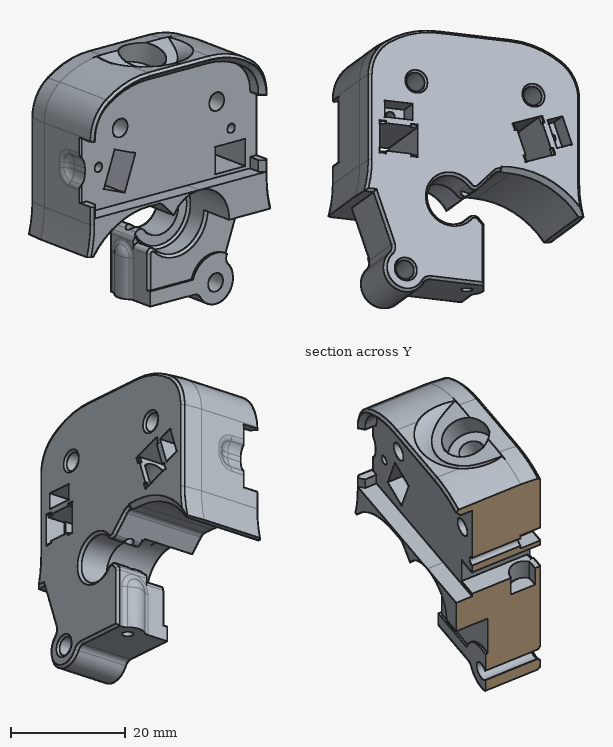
import cadquery as cq
import math

HOOD_DEPTH = 17.05
HOOD_TOP = 31.0
HOOD_HALF_WIDTH = 20.09
HOOD_FLAT_HALF = 6.9
SHOULDER_Z = 21.4
SHOULDER_RADIUS = 8.05
FLARE_TOP_Z = 5.84
EAR_HALF_WIDTH = 20.89
DRAFT_DEPTH = 4.0
DRAFT_INSET = 0.25
EDGE_CHAMFER = 0.5
RECESS_CHAMFER = 0.9

ARM_DEPTH = 10.7
ARM_BOTTOM = -14.7
BORE_Y, BORE_Z = 4.35, 0.25
BORE_RADIUS = 4.4
STEP_X = 6.1
STEP_RADIUS = 6.75
STEP_EASE = 0.47
JAW_FACE_Y = -1.9
JAW_TIP_RISE = BORE_RADIUS * math.sqrt(2) - BORE_Y
JAW_SLOPE_END_Z = BORE_Z - JAW_TIP_RISE + JAW_FACE_Y
JAW_TIP_FILLET = 1.2
JAW_EDGE_FILLET = 1.1
JAW_BACK_FILLET = 0.9

LUG_Y, LUG_Z = 13.0, -13.5
LUG_RADIUS = 4.0
LUG_FILLET = 1.5
ARM_SIDE_TOP_Y = 18.85
ARM_SIDE_Y, ARM_SIDE_Z = 15.2, -10.0
PAD_HEIGHT = 0.42
PAD_FRONT_Z = -11.9
PAD_RADIUS = 5.4

CEILING_Z = 6.5
RECESS_CENTER_Y = -7.0
RECESS_RADIUS = 15.9
RECESS_FILLET = 1.5
RECESS_FLAT = 2.0

SCREW_DIAMETER = 3.4
SCREW_COUNTERSINK = 4.2
SCREW_SPACING = 22.0
SCREW_Z = 20.96

SLOT_LENGTH, SLOT_HEIGHT = 7.2, 5.05
SLOT_FRONT_DEPTH = 4.0
NOTCH_LENGTH, NOTCH_HEIGHT, NOTCH_DEPTH = 1.25, 0.45, 0.5
POCKET_LENGTH, POCKET_HEIGHT, POCKET_DEPTH = 5.25, 3.0, 4.0
POCKET_OFFSET = 5.15
PIN_DIAMETER = 1.7
SEAT_X, SEAT_DEPTH = 3.15, 4.0
SEAT_DIAMETER = 5.5
SEAT_FRONT_X = 1.1
SLOTS = [(14.3, 10.17, 0.0, 6.8), (-11.1, 13.03, 70.0, 7.2)]

CHANNEL_X = 13.8
CHANNEL_BOTTOM, CHANNEL_TOP = 9.1, 21.1
CHANNEL_CHAMFER = 0.3
RIM_WALL, RIM_BEVEL = 1.5, 0.95
RECESS_FLOOR_Z = CEILING_Z + 0.5

BULGE_OUTER, BULGE_INNER, BULGE_HEIGHT = 2.9, 1.95, 1.1
GRIP_X, GRIP_Z, GRIP_HALF_FLAT = 10.83, 14.85, 0.5
FEED_X = 3.8
RIB_TOP_Z = -6.95

INLET_TILT = 17.0
INLET_X = 6.75
INLET_DIAMETER, INLET_DEPTH = 8.5, 4.3
GUIDE_DIAMETER = 4.5
FEED_DIAMETER = 2.0
SCOOP_X = 7.0
SCOOP_TOP_RADIUS, SCOOP_MID_RADIUS, SCOOP_LOW_RADIUS = 8.7, 6.3, 5.0
SCOOP_MID_DEPTH, SCOOP_DEPTH = 1.6, 3.4

OVERRUN = 2.0
PICK = 0.1


def yz(x):
    return cq.Workplane("YZ", origin=(x, 0, 0))


def box(x0, x1, y0, y1, z0, z1):
    return cq.Workplane("XY").box(x1 - x0, y1 - y0, z1 - z0, centered=False).translate((x0, y0, z0))


def rod(x0, x1, y, z, radius):
    return yz(x0).center(y, z).circle(radius).extrude(x1 - x0)


def near(x, y, z):
    return cq.selectors.NearestToPointSelector((x, y, z))


def around(x, y, z, reach):
    low, high = (x - reach, y - reach, z - reach), (x + reach, y + reach, z + reach)
    return cq.selectors.BoxSelector(low, high)


def cone(x, y, z, front_radius, back_radius, depth):
    body = cq.Solid.makeCone(front_radius, back_radius, depth, cq.Vector(x, y, z), cq.Vector(1, 0, 0))
    return cq.Workplane(obj=body)


def hood_outline(x, inset):
    across = HOOD_HALF_WIDTH - SHOULDER_RADIUS - HOOD_FLAT_HALF
    drop = HOOD_TOP - SHOULDER_Z
    crown_radius = (across**2 + drop**2 - SHOULDER_RADIUS**2) / (2 * (drop - SHOULDER_RADIUS))
    crown_z = HOOD_TOP - crown_radius
    shoulder_y = HOOD_HALF_WIDTH - SHOULDER_RADIUS
    meet = math.atan2(SHOULDER_Z - crown_z, across)

    def crown(angle):
        r = crown_radius - inset
        return (HOOD_FLAT_HALF + r * math.cos(angle), crown_z + r * math.sin(angle))

    def shoulder(angle):
        r = SHOULDER_RADIUS - inset
        return (shoulder_y + r * math.cos(angle), SHOULDER_Z + r * math.sin(angle))

    spread = EAR_HALF_WIDTH - HOOD_HALF_WIDTH
    flare_radius = (FLARE_TOP_Z**2 + spread**2) / (2 * spread)

    def flare(z):
        sag = math.sqrt((flare_radius + inset)**2 - (FLARE_TOP_Z - z)**2)
        return (HOOD_HALF_WIDTH + flare_radius - sag, z)

    def left(point):
        return (-point[0], point[1])

    low = -OVERRUN / 2
    mid = low + (FLARE_TOP_Z - low) / 2
    crown_mid = (meet + math.pi / 2) / 2
    return (
        yz(x).moveTo(*flare(low))
        .threePointArc(flare(mid), flare(FLARE_TOP_Z))
        .lineTo(*shoulder(0))
        .threePointArc(shoulder(meet / 2), shoulder(meet))
        .threePointArc(crown(crown_mid), crown(math.pi / 2))
        .lineTo(*left(crown(math.pi / 2)))
        .threePointArc(left(crown(crown_mid)), left(crown(meet)))
        .threePointArc(left(shoulder(meet / 2)), left(shoulder(0)))
        .lineTo(*left(flare(FLARE_TOP_Z)))
        .threePointArc(left(flare(mid)), left(flare(low)))
        .close().wires().val()
    )


def hood_loft(sections):
    wires = [hood_outline(x, inset) for x, inset in sections]
    return cq.Workplane(obj=cq.Solid.makeLoft(wires, True))


def hood():
    sections = [
        (0, DRAFT_INSET + EDGE_CHAMFER),
        (EDGE_CHAMFER, DRAFT_INSET),
        (DRAFT_DEPTH, 0),
        (HOOD_DEPTH - EDGE_CHAMFER, 0),
        (HOOD_DEPTH, EDGE_CHAMFER),
    ]
    wide = EAR_HALF_WIDTH + OVERRUN
    return hood_loft(sections).cut(box(0, HOOD_DEPTH, -wide, wide, ARM_BOTTOM, 0))


def arm(depth):
    top = CEILING_Z
    plate = (
        yz(0).moveTo(JAW_FACE_Y, ARM_BOTTOM)
        .lineTo(LUG_Y, ARM_BOTTOM)
        .lineTo(ARM_SIDE_Y, ARM_SIDE_Z)
        .lineTo(ARM_SIDE_TOP_Y, 0)
        .lineTo(ARM_SIDE_TOP_Y, top)
        .lineTo(JAW_FACE_Y, top)
        .close().extrude(depth)
    )
    plate = plate.union(rod(0, depth, LUG_Y, LUG_Z, LUG_RADIUS))
    meet_y = LUG_Y - math.sqrt(LUG_RADIUS**2 - (ARM_BOTTOM - LUG_Z)**2)
    corners = (
        around(depth / 2, ARM_SIDE_Y, ARM_SIDE_Z, LUG_FILLET / 2)
        + around(depth / 2, meet_y, ARM_BOTTOM, PICK)
    )
    return plate.edges("|X").edges(corners).fillet(LUG_FILLET)


def throat():
    flank = BORE_RADIUS / math.sqrt(2)
    upper_tip, lower_tip = BORE_Z + JAW_TIP_RISE, BORE_Z - JAW_TIP_RISE
    arc_z = CEILING_Z - RECESS_RADIUS
    arc_end_y = RECESS_CENTER_Y - math.sqrt(RECESS_RADIUS**2 - arc_z**2)
    half_turn = (math.pi / 2 + math.atan2(-arc_z, arc_end_y - RECESS_CENTER_Y)) / 2
    arc_mid = (
        RECESS_CENTER_Y + RECESS_RADIUS * math.cos(half_turn),
        arc_z + RECESS_RADIUS * math.sin(half_turn),
    )
    outside_y = -EAR_HALF_WIDTH - OVERRUN
    gap = (
        yz(-OVERRUN).moveTo(BORE_Y, BORE_Z)
        .lineTo(BORE_Y - flank, BORE_Z + flank)
        .lineTo(0, upper_tip)
        .lineTo(upper_tip - CEILING_Z, CEILING_Z)
        .lineTo(RECESS_CENTER_Y, CEILING_Z)
        .threePointArc(arc_mid, (arc_end_y, 0))
        .lineTo(outside_y, 0)
        .lineTo(outside_y, JAW_SLOPE_END_Z)
        .lineTo(JAW_FACE_Y, JAW_SLOPE_END_Z)
        .lineTo(0, lower_tip)
        .lineTo(BORE_Y - flank, BORE_Z - flank)
        .close().extrude(HOOD_DEPTH + 2 * OVERRUN)
    )
    middle_x = HOOD_DEPTH / 2
    for y, z, radius in [
        (0, upper_tip, JAW_TIP_FILLET),
        (0, lower_tip, JAW_TIP_FILLET),
        (upper_tip - CEILING_Z, CEILING_Z, RECESS_FILLET),
    ]:
        gap = gap.edges(near(middle_x, y, z)).fillet(radius)
    return gap.union(rod(-OVERRUN, HOOD_DEPTH + OVERRUN, BORE_Y, BORE_Z, BORE_RADIUS))


def recess_bevel():
    arc_z = CEILING_Z - RECESS_RADIUS
    flare = cone(0, RECESS_CENTER_Y, arc_z, RECESS_RADIUS + RECESS_CHAMFER, RECESS_RADIUS, RECESS_CHAMFER)
    flat_start_y = RECESS_CENTER_Y + RECESS_FLAT
    return flare.intersect(box(0, RECESS_CHAMFER, -EAR_HALF_WIDTH, flat_start_y, 0, HOOD_TOP))


def wide_bore():
    bore_x = STEP_X + STEP_EASE
    bore = rod(bore_x, HOOD_DEPTH + OVERRUN, BORE_Y, BORE_Z, STEP_RADIUS)
    beside = box(bore_x, HOOD_DEPTH + OVERRUN, -EAR_HALF_WIDTH, JAW_FACE_Y, ARM_BOTTOM, 0)
    corner_z = BORE_Z - math.sqrt(STEP_RADIUS**2 - (BORE_Y - JAW_FACE_Y)**2)
    bore = bore.union(beside)
    bore = bore.edges("|X").edges(near(HOOD_DEPTH / 2, JAW_FACE_Y, corner_z)).fillet(JAW_BACK_FILLET)
    ease = cone(STEP_X, BORE_Y, BORE_Z, STEP_RADIUS - STEP_EASE, STEP_RADIUS, STEP_EASE)
    return bore.union(ease)


def lug_pad():
    back = ARM_DEPTH + PAD_HEIGHT
    front = ARM_DEPTH - EDGE_CHAMFER
    pad = rod(front, back, LUG_Y, LUG_Z, PAD_RADIUS)
    pad = pad.union(box(front, back, JAW_FACE_Y, LUG_Y, ARM_BOTTOM, PAD_FRONT_Z))
    return pad.intersect(arm(back))


def screw_hole(y, z):
    lead = (SCREW_COUNTERSINK - SCREW_DIAMETER) / 2
    hole = rod(0, HOOD_DEPTH + OVERRUN, y, z, SCREW_DIAMETER / 2)
    sink = cone(0, y, z, SCREW_COUNTERSINK / 2, SCREW_DIAMETER / 2, lead)
    return hole.union(sink)


def sensor_slot(y, z, turn, through_length):
    def block(x1, y0, y1, z0, z1):
        return box(-OVERRUN, x1, y0, y1, z0, z1)

    length, height = SLOT_LENGTH / 2, SLOT_HEIGHT / 2
    through = HOOD_DEPTH + OVERRUN
    cut = block(SLOT_FRONT_DEPTH, -length, length, -height, height)
    cut = cut.union(block(through, -length, through_length - length, -height, height))
    for y0 in (-length, length - NOTCH_LENGTH):
        notch_half = height + NOTCH_HEIGHT
        cut = cut.union(block(NOTCH_DEPTH, y0, y0 + NOTCH_LENGTH, -notch_half, notch_half))

    seat = cq.Workplane("XY", origin=(SEAT_X, 0, -height)).circle(SEAT_DIAMETER / 2).extrude(-SEAT_DEPTH)
    cut = cut.union(seat.intersect(box(SEAT_FRONT_X, through, -length, length, -through, 0)))

    pocket_z = POCKET_OFFSET - POCKET_HEIGHT / 2
    half = POCKET_LENGTH / 2
    cut = cut.union(block(POCKET_DEPTH, -half, half, pocket_z, pocket_z + POCKET_HEIGHT))
    cut = cut.union(rod(0, through, 0, POCKET_OFFSET, PIN_DIAMETER / 2))
    return cut.rotate((0, 0, 0), (1, 0, 0), turn).translate((0, y, z))


def back_channel():
    y = EAR_HALF_WIDTH + OVERRUN
    channel = box(CHANNEL_X, HOOD_DEPTH + OVERRUN, -y, y, CHANNEL_BOTTOM, CHANNEL_TOP)
    corner = (
        cq.Workplane("XY", origin=(0, 0, CHANNEL_BOTTOM))
        .moveTo(CHANNEL_X - CHANNEL_CHAMFER, -HOOD_HALF_WIDTH)
        .lineTo(CHANNEL_X, -HOOD_HALF_WIDTH)
        .lineTo(CHANNEL_X, -HOOD_HALF_WIDTH + CHANNEL_CHAMFER)
        .close().extrude(CHANNEL_TOP - CHANNEL_BOTTOM)
    )
    return channel.union(corner)


def back_recess():
    sections = [
        (CHANNEL_X, RIM_WALL),
        (HOOD_DEPTH - RIM_BEVEL, RIM_WALL),
        (HOOD_DEPTH, RIM_WALL - RIM_BEVEL),
    ]
    below = box(CHANNEL_X, HOOD_DEPTH, -EAR_HALF_WIDTH, EAR_HALF_WIDTH, ARM_BOTTOM, RECESS_FLOOR_Z)
    return hood_loft(sections).cut(below)


def bulge_points():
    turn = 2 * math.atan(BULGE_HEIGHT / BULGE_OUTER)
    crest_radius = BULGE_INNER / math.sin(turn)
    foot_radius = (BULGE_OUTER - BULGE_INNER) / math.sin(turn)
    half = turn / 2
    foot_mid = (BULGE_OUTER - foot_radius * math.sin(half), foot_radius * (1 - math.cos(half)))
    blend = (BULGE_INNER, foot_radius * (1 - math.cos(turn)))
    crest_drop = crest_radius * (1 - math.cos(half))
    crest_mid = (crest_radius * math.sin(half), BULGE_HEIGHT - crest_drop)
    return foot_mid, blend, crest_mid


def bulge_dome():
    foot_mid, blend, crest_mid = bulge_points()
    return (
        cq.Workplane("XY").lineTo(BULGE_OUTER, 0)
        .threePointArc(foot_mid, blend)
        .threePointArc(crest_mid, (0, BULGE_HEIGHT))
        .close().revolve(360, (0, 0), (0, 1))
    )


def bulge_bar(length):
    foot_mid, blend, crest_mid = bulge_points()

    def other(point):
        return (-point[0], point[1])

    return (
        cq.Workplane("XY").moveTo(BULGE_OUTER, 0)
        .threePointArc(foot_mid, blend)
        .threePointArc(crest_mid, (0, BULGE_HEIGHT))
        .threePointArc(other(crest_mid), other(blend))
        .threePointArc(other(foot_mid), (-BULGE_OUTER, 0))
        .close().extrude(-length)
    )


def jaw_rib():
    rib = bulge_dome().union(bulge_bar(RIB_TOP_Z - ARM_BOTTOM))
    return rib.rotate((0, 0, 0), (0, 0, 1), 180).translate((FEED_X, JAW_FACE_Y, RIB_TOP_Z))


def side_grip():
    run = CHANNEL_X + OVERRUN - GRIP_X
    grip = None
    for z in (-GRIP_HALF_FLAT, GRIP_HALF_FLAT):
        part = bulge_dome().union(bulge_bar(run).rotate((0, 0, 0), (0, 1, 0), -90))
        part = part.translate((0, 0, z))
        grip = part if grip is None else grip.union(part)
    span = 2 * GRIP_HALF_FLAT
    grip = grip.union(bulge_bar(span).translate((0, 0, GRIP_HALF_FLAT)))
    grip = grip.union(box(0, run, 0, BULGE_HEIGHT, -GRIP_HALF_FLAT, GRIP_HALF_FLAT))
    return grip.translate((GRIP_X, -HOOD_HALF_WIDTH, GRIP_Z))


def inlet():
    tilt = math.radians(INLET_TILT)
    drop = math.tan(tilt)
    up = cq.Vector(math.sin(tilt), 0, math.cos(tilt))
    center = cq.Vector(INLET_X, 0, HOOD_TOP - (INLET_X - DRAFT_DEPTH) * drop)
    top = HOOD_TOP + OVERRUN

    scoop = (
        cq.Workplane("XZ").moveTo(0, HOOD_TOP - SCOOP_DEPTH)
        .lineTo(SCOOP_LOW_RADIUS, HOOD_TOP - SCOOP_DEPTH)
        .threePointArc((SCOOP_MID_RADIUS, HOOD_TOP - SCOOP_MID_DEPTH), (SCOOP_TOP_RADIUS, HOOD_TOP))
        .lineTo(SCOOP_TOP_RADIUS, top)
        .lineTo(0, top)
        .close().revolve(360, (0, 0), (0, 1)).translate((SCOOP_X, 0, 0))
    )
    reach = HOOD_DEPTH - DRAFT_DEPTH
    above_slope = (
        cq.Workplane("XZ").moveTo(DRAFT_DEPTH, HOOD_TOP)
        .lineTo(HOOD_DEPTH, HOOD_TOP - reach * drop)
        .lineTo(HOOD_DEPTH, top)
        .lineTo(DRAFT_DEPTH, top)
        .close().extrude(HOOD_HALF_WIDTH, both=True)
    )
    cut = scoop.intersect(above_slope)

    guide_depth = (INLET_X - FEED_X) / math.sin(tilt)
    start = center + up * OVERRUN
    counterbore = cq.Solid.makeCylinder(INLET_DIAMETER / 2, INLET_DEPTH + OVERRUN, start, up * -1)
    floor = center - up * INLET_DEPTH
    guide = cq.Solid.makeCone(GUIDE_DIAMETER / 2, FEED_DIAMETER / 2, guide_depth - INLET_DEPTH, floor, up * -1)
    cut = cut.union(cq.Workplane(obj=counterbore)).union(cq.Workplane(obj=guide))

    feed_top = center.z - guide_depth * math.cos(tilt) + FEED_DIAMETER / 2
    feed_length = feed_top - ARM_BOTTOM + OVERRUN
    feed = cq.Workplane("XY", origin=(FEED_X, 0, feed_top)).circle(FEED_DIAMETER / 2).extrude(-feed_length)
    return cut.union(feed)


def face_edges():
    side = ARM_SIDE_TOP_Y
    top = CEILING_Z + RECESS_FILLET
    inner = cq.selectors.BoxSelector((-PICK, -side, LUG_Z - LUG_RADIUS), (PICK, side, top))
    ear_underside = cq.selectors.BoxSelector((-PICK, side, -PICK), (PICK, EAR_HALF_WIDTH, PICK))
    return inner + ear_underside


result = hood().union(arm(ARM_DEPTH)).cut(throat())
result = result.edges("|X").edges(near(ARM_DEPTH / 2, JAW_FACE_Y, JAW_SLOPE_END_Z)).fillet(JAW_EDGE_FILLET)
result = result.edges(face_edges()).chamfer(EDGE_CHAMFER)
result = result.cut(recess_bevel()).cut(wide_bore())
result = result.edges("|Z").edges(near(ARM_DEPTH, JAW_FACE_Y, PAD_FRONT_Z)).chamfer(EDGE_CHAMFER)
result = result.union(lug_pad()).union(jaw_rib())
for side in (-1, 1):
    result = result.cut(screw_hole(side * SCREW_SPACING / 2, SCREW_Z))
result = result.cut(screw_hole(LUG_Y, LUG_Z))
for slot in SLOTS:
    result = result.cut(sensor_slot(*slot))
result = result.cut(back_channel()).cut(back_recess()).cut(side_grip()).cut(inlet())